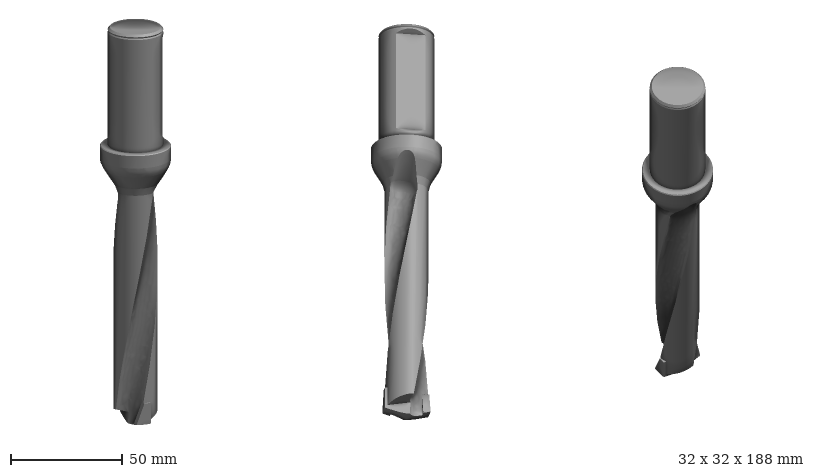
import cadquery as cq
import math

total_height = 188.0
flange_top = 132.4
flange_rim_bottom = 126.1
neck_top = 114.9
neck_bottom = 111.3

shank_diameter = 25.0
flange_diameter = 32.0
drill_diameter = 20.0
shank_chamfer = 1.0
groove_bottom = 185.7
groove_top = 186.9
groove_depth = 0.4
flange_edge_chamfer = 0.4

shoulder_radius = 9.4
cone_angle = 30.0

flat_offset = 10.5
flat_bottom = 137.2
flat_top = 183.5
flat_cut_depth = 3.8

flute_radius = 6.5
flute_offset = 9.8
flute_top = 109.5
flute_top_angle = -109.0
flute_twist_rate = 1.117
runout_angle = 46.0
runout_length = 37.6
runout_direction = -90.0
flute_angles = (0.0, 180.0)

land_end_height = 5.3
land_slope_x = 0.2
land_slope_y = 0.3

insert_top = 13.0
insert_width = 21.0
insert_thickness = 7.5
insert_corner_height = 3.0
rake_start = 7.1
rake_top_y = 0.8
rake_bottom_y = -3.0


def turned(tool, angle):
    return tool.rotate((0, 0, 0), (0, 0, 1), angle)


def make_turned_blank():
    drill_radius = drill_diameter / 2
    flange_radius = flange_diameter / 2
    shank_radius = shank_diameter / 2
    angle = math.radians(cone_angle)
    cone_top = flange_rim_bottom - shoulder_radius * math.sin(angle)
    cone_top_radius = flange_radius - shoulder_radius * (1 - math.cos(angle))
    cone_bottom_radius = cone_top_radius - (cone_top - neck_top) * math.tan(angle)
    groove_middle = (groove_bottom + groove_top) / 2
    return (
        cq.Workplane("XZ")
        .lineTo(drill_radius, 0)
        .lineTo(drill_radius, neck_bottom)
        .lineTo(cone_bottom_radius, neck_top)
        .lineTo(cone_top_radius, cone_top)
        .tangentArcPoint((flange_radius, flange_rim_bottom), relative=False)
        .lineTo(flange_radius, flange_top - flange_edge_chamfer)
        .lineTo(flange_radius - flange_edge_chamfer, flange_top)
        .lineTo(shank_radius, flange_top)
        .lineTo(shank_radius, groove_bottom)
        .lineTo(shank_radius - groove_depth, groove_middle)
        .lineTo(shank_radius, groove_top)
        .lineTo(shank_radius, total_height - shank_chamfer)
        .lineTo(shank_radius - shank_chamfer, total_height)
        .lineTo(0, total_height)
        .close()
        .revolve(360, (0, 0, 0), (0, 1, 0))
    )


def make_shank_flat():
    """Flat with ends that slope outward at 45 degrees."""
    return (
        cq.Workplane("YZ")
        .moveTo(flat_offset, flat_bottom)
        .lineTo(flat_offset, flat_top)
        .lineTo(flat_offset + flat_cut_depth, flat_top + flat_cut_depth)
        .lineTo(flat_offset + flat_cut_depth, flat_bottom - flat_cut_depth)
        .close()
        .extrude(shank_diameter, both=True)
    )


def make_flute():
    """Helical groove that leaves the drill through a leaning round runout."""
    twist = flute_twist_rate * flute_top
    groove = (
        cq.Workplane("XY")
        .moveTo(flute_offset, 0)
        .circle(flute_radius)
        .twistExtrude(flute_top, twist)
        .rotate((0, 0, 0), (0, 0, 1), flute_top_angle - twist)
    )
    lean = math.radians(runout_angle)
    exit_direction = cq.Vector(math.sin(lean), 0, math.cos(lean))
    end_ball = cq.Workplane("XY").sphere(flute_radius)
    exit_plane = cq.Plane(origin=(0, 0, 0), normal=exit_direction)
    runout = cq.Workplane(exit_plane).circle(flute_radius).extrude(runout_length)
    end_point = cq.Vector(
        flute_offset * math.cos(math.radians(flute_top_angle)),
        flute_offset * math.sin(math.radians(flute_top_angle)),
        flute_top,
    )
    exit_cut = turned(end_ball.union(runout), runout_direction).translate(end_point)
    return groove, exit_cut


def make_land_end_cut():
    """Space below the sloping end of the land on the -Y side."""
    reach = 18.8
    normal = cq.Vector(-land_slope_x, land_slope_y, 1)
    plane = cq.Plane(origin=(0, 0, land_end_height), xDir=(1, 0, land_slope_x), normal=normal)
    below = cq.Workplane(plane).rect(4 * reach, 4 * reach).extrude(-reach)
    half_space = cq.Workplane("XY").box(4 * reach, 2 * reach, 4 * reach).translate((0, -reach, 0))
    return below.intersect(half_space)


def make_insert_blank():
    """Flat blade with a shallow conical point."""
    cone_radius = insert_width
    pointed_rod = (
        cq.Workplane("XZ")
        .lineTo(cone_radius, 2 * insert_corner_height)
        .lineTo(cone_radius, insert_top)
        .lineTo(0, insert_top)
        .close()
        .revolve(360, (0, 0, 0), (0, 1, 0))
    )
    blade = cq.Workplane("XY").box(insert_width, insert_thickness, insert_top, centered=(True, True, False))
    return pointed_rod.intersect(blade)


def make_rake_cut():
    """Flat rake face at the outer +X end of the insert."""
    front = -insert_thickness
    return (
        cq.Workplane("YZ", origin=(rake_start, 0, 0))
        .moveTo(front, insert_top)
        .lineTo(rake_top_y, insert_top)
        .lineTo(rake_bottom_y, insert_corner_height)
        .lineTo(rake_bottom_y, 0)
        .lineTo(front, 0)
        .close()
        .extrude(insert_width)
    )


def make_insert_slot():
    return cq.Workplane("XY").box(
        2 * drill_diameter, insert_thickness, insert_top, centered=(True, True, False)
    )


flute_groove, flute_exit = make_flute()
land_end_cut = make_land_end_cut()
rake_cut = make_rake_cut()
insert_middle = cq.Workplane("XY").box(2 * rake_start, insert_width, 2 * insert_top)
insert_flute = flute_groove.intersect(insert_middle)

drill_body = make_turned_blank().cut(make_shank_flat()).cut(make_insert_slot())
insert = make_insert_blank()
for angle in flute_angles:
    drill_body = drill_body.cut(turned(flute_groove, angle))
    drill_body = drill_body.cut(turned(flute_exit, angle))
    drill_body = drill_body.cut(turned(land_end_cut, angle))
    insert = insert.cut(turned(insert_flute, angle))
    insert = insert.cut(turned(rake_cut, angle))

result = cq.Compound.makeCompound([*drill_body.vals(), *insert.vals()])